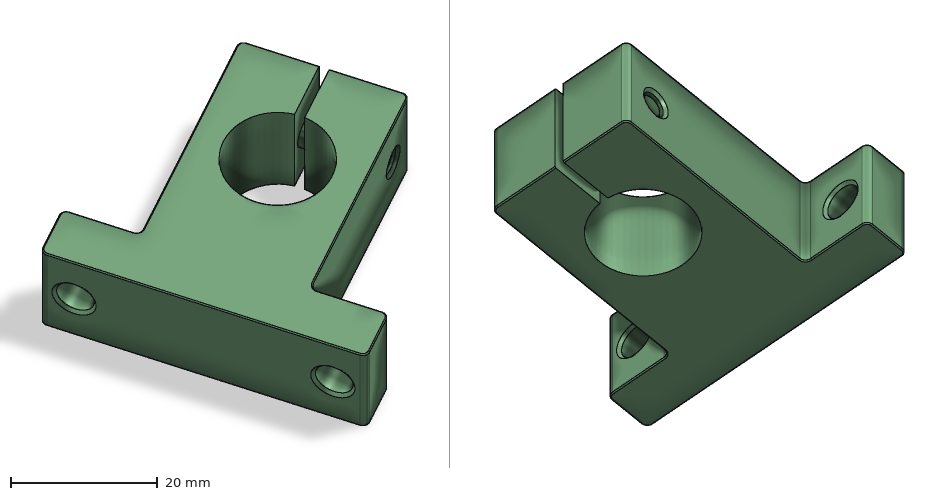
import cadquery as cq


foot_length = 48.0
foot_thickness = 8.0
block_width = 24.95
total_depth = 44.0
height = 16.0
corner_radius = 1.0
edge_chamfer = 0.2

bore_diameter = 16.0
bore_y = 27.0
slot_width = 1.5

mount_hole_diameter = 5.5
mount_hole_spacing = 38.0
mount_hole_chamfer = 0.5

screw_diameter = 4.0
screw_y = 38.1
screw_inset = 0.8
screw_end_chamfer = 0.35
screw_hole_chamfer = 0.5
screw_length = block_width - 2 * screw_inset

screw_plane = cq.Plane(origin=(0, screw_y, 0), xDir=(0, 1, 0), normal=(1, 0, 0))


def upright_box(length, depth, start_y):
    """Full-height box centred on X, reaching from start_y by depth along +Y."""
    return cq.Workplane("XY", origin=(0, start_y, 0)).box(length, depth, height, centered=(True, False, True))


def cylinder_with_sloped_ends(plane, diameter, length, end_growth):
    """Cylinder centred on the plane origin, along its normal, with a 45-degree slope at each end.

    The radius changes by end_growth at both ends: positive flares them, negative chamfers them.
    """
    radius = diameter / 2
    end_radius = radius + end_growth
    half_length = length / 2
    half_straight = half_length - abs(end_growth)
    half_section = [
        (0, -half_length),
        (end_radius, -half_length),
        (radius, -half_straight),
        (radius, half_straight),
        (end_radius, half_length),
        (0, half_length),
    ]
    cylinder = cq.Workplane("XZ").polyline(half_section).close().revolve(360, (0, 0), (0, 1))
    return cq.Workplane(cylinder.val().moved(cq.Location(plane)))


def make_housing_blank():
    """T-shaped blank with rounded upright corners and chamfered top and bottom edges."""
    foot = upright_box(foot_length, foot_thickness, 0)
    block = upright_box(block_width, total_depth, 0)
    blank = foot.union(block).edges("|Z").fillet(corner_radius)
    return blank.faces("<Z or >Z").edges().chamfer(edge_chamfer)


def make_shaft_bore():
    """Cutter for the vertical shaft bore."""
    return cq.Workplane("XY").center(0, bore_y).circle(bore_diameter / 2).extrude(height / 2, both=True)


def make_clamp_slot():
    """Cutter for the slot from the bore to the far end of the block."""
    return upright_box(slot_width, total_depth - bore_y, bore_y)


def make_mounting_hole(side):
    """Cutter for one hole through the foot, flared at both mouths."""
    centre = (side * mount_hole_spacing / 2, foot_thickness / 2, 0)
    plane = cq.Plane(origin=centre, xDir=(1, 0, 0), normal=(0, 1, 0))
    return cylinder_with_sloped_ends(plane, mount_hole_diameter, foot_thickness, mount_hole_chamfer)


def make_screw_hole():
    """Cutter for the hole across the block, flared at both mouths."""
    return cylinder_with_sloped_ends(screw_plane, screw_diameter, block_width, screw_hole_chamfer)


def make_housing():
    """Foot and clamp block in one piece, with all holes and the slot."""
    body = make_housing_blank()
    body = body.cut(make_shaft_bore())
    body = body.cut(make_clamp_slot())
    for side in (-1, 1):
        body = body.cut(make_mounting_hole(side))
    return body.cut(make_screw_hole()).solids()


def make_screw():
    """Headless clamping screw, set below both side faces of the block."""
    return cylinder_with_sloped_ends(screw_plane, screw_diameter, screw_length, -screw_end_chamfer)


housing = make_housing()
screw = make_screw()

result = cq.Compound.makeCompound([housing.val(), screw.val()])